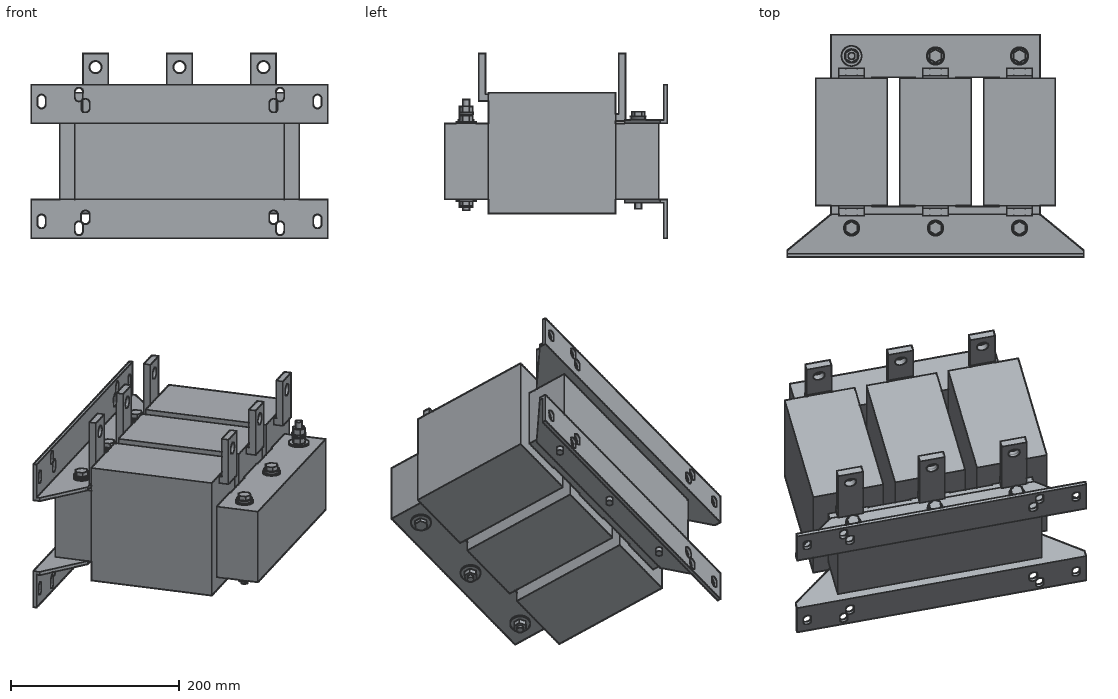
import cadquery as cq


PHASE_PITCH = 99.5
PHASE_X = [-PHASE_PITCH, 0, PHASE_PITCH]
CORE_WIDTH = 248.5
CORE_FRONT = 10.0
CORE_BACK = 264.0
CORE_HEIGHT = 90.0
WINDOW_WIDTH = 51.5
COIL_WIDTH = 85.2
COIL_FRONT = 61.2
COIL_BACK = 212.3
COIL_BOTTOM = -17.0
COIL_TOP = 126.7
COIL_END_GAP = 1.0

BAR_WIDTH = 30.3
BAR_THICKNESS = 8.5
BAR_TOP = 173.2
BAR_REACH_FRONT = 12.0
BAR_REACH_BACK = 11.5
FOOT_BOTTOM_FRONT = 93.0
FOOT_BOTTOM_BACK = 116.5
BAR_HOLE_DIAMETER = 14.0
BAR_HOLE_DROP = 16.2

BRACKET_LENGTH = 352.0
BRACKET_HEIGHT = 46.0
BRACKET_THICKNESS = 4.2
BRACKET_DEPTH = 50.7
BRACKET_SQUARE_END = 8.0
SLOT_LENGTH = 16.2
BRACKET_SLOTS = [(163.7, 26.0, 9.5), (119.5, 34.0, 9.5), (111.5, 21.0, 10.2)]

BOLT_FRONT_Y = 34.5
BOLT_BACK_Y = 238.5
STUD_DIAMETER = 8.0
HEX_ACROSS_CORNERS = 16.0
HEAD_HEIGHT = 5.3
NUT_HEIGHT = 7.0
WIDE_WASHER = (24.0, 2.0)
MEDIUM_WASHER = (20.8, 1.8)
COLLAR_WASHER = (18.5, 2.8)
THIN_WASHER = (18.3, 1.0)
SPRING_WASHER = (16.5, 2.5)
NUT_WASHER = (16.0, 1.8)
FRONT_STUD_END = -11.3
BACK_STUD_END = -13.0
EARTH_STUD_END = 28.5


def box(x_range, y_range, z_range):
    """Box between the given limits."""
    (x0, x1), (y0, y1), (z0, z1) = x_range, y_range, z_range
    return cq.Workplane("XY").box(x1 - x0, y1 - y0, z1 - z0, centered=False).translate((x0, y0, z0))


def centred(middle, width):
    """Limits of a span of the given width about its middle."""
    return (middle - width / 2, middle + width / 2)


def make_core():
    core = box(centred(0, CORE_WIDTH), (CORE_FRONT, CORE_BACK), (0, CORE_HEIGHT))
    window_y = (COIL_FRONT - COIL_END_GAP, COIL_BACK + COIL_END_GAP)
    for side in (-1, 1):
        window_x = centred(side * PHASE_PITCH / 2, WINDOW_WIDTH)
        core = core.cut(box(window_x, window_y, (0, CORE_HEIGHT)))
    return core


def make_coil(x):
    return box(centred(x, COIL_WIDTH), (COIL_FRONT, COIL_BACK), (COIL_BOTTOM, COIL_TOP))


def make_terminal(x, coil_end, outward, reach, foot_bottom):
    """L-shaped bar leaving a coil end; outward is -1 at the front and +1 at the back."""
    outer = coil_end + outward * reach
    inner = outer - outward * BAR_THICKNESS
    foot_top = foot_bottom + BAR_THICKNESS
    profile = [
        (coil_end, foot_bottom),
        (outer, foot_bottom),
        (outer, BAR_TOP),
        (inner, BAR_TOP),
        (inner, foot_top),
        (coil_end, foot_top),
    ]
    bar = cq.Workplane("YZ").polyline(profile).close().extrude(BAR_WIDTH / 2, both=True)
    hole = (
        cq.Workplane("XZ")
        .center(0, BAR_TOP - BAR_HOLE_DROP)
        .circle(BAR_HOLE_DIAMETER / 2)
        .extrude(BAR_THICKNESS, both=True)
        .translate((0, (outer + inner) / 2, 0))
    )
    return bar.cut(hole).translate((x, 0, 0))


def make_bracket():
    """Angle bracket with its foot on Z=0 and its slotted plate rising at Y=0."""
    half_length = BRACKET_LENGTH / 2
    half_core = CORE_WIDTH / 2
    foot_outline = [
        (-half_length, 0),
        (half_length, 0),
        (half_length, BRACKET_SQUARE_END),
        (half_core, BRACKET_DEPTH),
        (-half_core, BRACKET_DEPTH),
        (-half_length, BRACKET_SQUARE_END),
    ]
    foot = cq.Workplane("XY").polyline(foot_outline).close().extrude(BRACKET_THICKNESS)
    plate = box(centred(0, BRACKET_LENGTH), (0, BRACKET_THICKNESS), (0, BRACKET_HEIGHT))
    bracket = foot.union(plate)
    for offset, height, width in BRACKET_SLOTS:
        slots = (
            cq.Workplane("XZ")
            .pushPoints([(-offset, height), (offset, height)])
            .slot2D(SLOT_LENGTH, width, 90)
            .extrude(-BRACKET_THICKNESS)
        )
        bracket = bracket.cut(slots)
    return bracket


def round_part(size):
    """Washer-like disc with its height, ready to be stacked."""
    diameter, height = size
    disc = cq.Workplane("XY").circle(diameter / 2).extrude(height)
    return disc, height


def hex_part(height):
    """Hexagon with two corners along Y, with its height, ready to be stacked."""
    hexagon = cq.Workplane("XY").polygon(6, HEX_ACROSS_CORNERS).extrude(height)
    return hexagon.rotate((0, 0, 0), (0, 0, 1), 90), height


def stack(parts):
    """Pile (solid, height) parts on Z=0, the first one lowest."""
    pile = cq.Workplane("XY")
    level = 0
    for solid, height in parts:
        pile = pile.union(solid.translate((0, 0, level)))
        level += height
    return pile


def make_stud(bottom, top):
    return cq.Workplane("XY").workplane(offset=bottom).circle(STUD_DIAMETER / 2).extrude(top - bottom)


def upside_down(solid):
    return solid.mirror("XY")


def on_core_top(solid):
    return solid.translate((0, 0, CORE_HEIGHT))


def make_front_bolt():
    """Bolt through both brackets, its head above the upper foot."""
    head = stack([
        round_part(THIN_WASHER), round_part(SPRING_WASHER), round_part(THIN_WASHER), hex_part(HEAD_HEIGHT),
    ])
    stud = make_stud(FRONT_STUD_END, CORE_HEIGHT + BRACKET_THICKNESS)
    return stud.union(on_core_top(head).translate((0, 0, BRACKET_THICKNESS)))


def make_back_bolt():
    """Bolt through the back yoke, head on top and nut below."""
    head = stack([round_part(MEDIUM_WASHER), round_part(COLLAR_WASHER), hex_part(HEAD_HEIGHT)])
    nut = stack([round_part(WIDE_WASHER), hex_part(NUT_HEIGHT)])
    stud = make_stud(BACK_STUD_END, CORE_HEIGHT)
    return stud.union(on_core_top(head)).union(upside_down(nut))


def make_earth_bolt():
    """Bolt through the back yoke with its head below and two nuts on the stud above."""
    head = stack([round_part(WIDE_WASHER), hex_part(HEAD_HEIGHT)])
    nuts = stack([
        round_part(WIDE_WASHER), hex_part(NUT_HEIGHT),
        round_part(NUT_WASHER), round_part(SPRING_WASHER), hex_part(NUT_HEIGHT),
    ])
    stud = make_stud(0, CORE_HEIGHT + EARTH_STUD_END)
    return stud.union(on_core_top(nuts)).union(upside_down(head))


result = make_core()
for x in PHASE_X:
    result = result.union(make_coil(x))
    result = result.union(make_terminal(x, COIL_FRONT, -1, BAR_REACH_FRONT, FOOT_BOTTOM_FRONT))
    result = result.union(make_terminal(x, COIL_BACK, 1, BAR_REACH_BACK, FOOT_BOTTOM_BACK))

bracket = make_bracket()
result = result.union(on_core_top(bracket)).union(upside_down(bracket))

for x in PHASE_X:
    result = result.union(make_front_bolt().translate((x, BOLT_FRONT_Y, 0)))

earth_x, *other_bolts_x = PHASE_X
result = result.union(make_earth_bolt().translate((earth_x, BOLT_BACK_Y, 0)))
for x in other_bolts_x:
    result = result.union(make_back_bolt().translate((x, BOLT_BACK_Y, 0)))